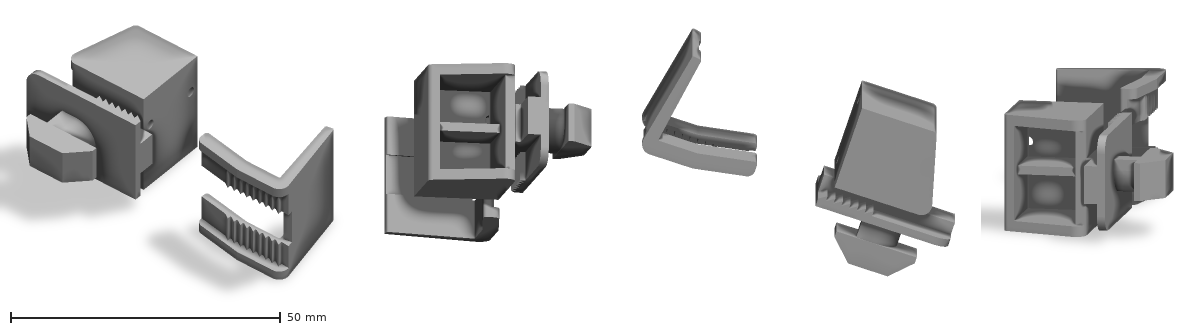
import cadquery as cq
import math

overall_length = 60.5
overall_height = 22.0
arm_angle = 10.0
arm_slope = math.tan(math.radians(arm_angle))

plate_tooth_count = 7
clip_tooth_count = 9
tooth_row_length = 10.55
tooth_pitch = tooth_row_length / plate_tooth_count
tooth_slope = 0.65
tooth_depth = tooth_slope * tooth_pitch
clip_tooth_land = 0.33

plate_length = 25.95
plate_height = 18.05
plate_thickness = 1.5
plate_corner_radius = 3.0
web_height = 7.15
web_low_top = 3.95
web_step_x = 6.95
web_step_radius = 0.3

box_bottom = 4.95
box_top = 20.95
box_right = 23.9
box_wall = 2.0
box_lean = math.tan(math.radians(15.0))
box_bottom_left = 4.95
box_bottom_radius = 2.0
box_top_radius = 0.95
cavity_bottom = 6.9
cavity_corner_radius = 0.25
cavity_right = box_right - box_wall
cavity_top = box_top - box_wall
rib_thickness = 1.65
rib_start_x = 12.35
wire_hole_diameter = 2.0
wire_hole_z = 3.6

neck_length = 4.6
neck_width = 8.0
neck_height = 6.8
neck_center_x = 12.45
neck_radius = 4.7
head_width = 15.75
head_height = 7.15
head_end_y = -9.75
head_rim = 1.15

clip_left = 38.9
arm_bend_x = 50.05
arm_thickness = 3.0
arm_outer_radius = 1.5
arm_inner_radius = 0.6
heel_radius = 2.0
heel_inner_x = 57.85
heel_inner_radius = 0.25
leg_length = 17.3
leg_inner_angle = 9.3
leg_outer_angle = 11.3
leg_tip_radius = 0.35
clip_tooth_end_x = 58.7
relief_end_drop = 0.08
slot_height = 7.45
slot_corner_x = 58.55
slot_corner_y = 3.3


def extrude_centered(points, height):
    """Prism over an XY outline, centred on Z = 0."""
    return cq.Workplane("XY").polyline(points).close().extrude(height / 2, both=True)


def round_edge(body, point, radius):
    """Round the vertical edge that passes nearest to an XY point."""
    edge = cq.NearestToPointSelector((point[0], point[1], 0))
    return body.edges("|Z").edges(edge).fillet(radius)


def make_plate():
    plate = cq.Workplane("XY").box(
        plate_length, plate_thickness, plate_height, centered=(False, False, True)
    )
    return plate.edges("|Y and <X").fillet(plate_corner_radius)


def make_plate_teeth():
    """Saw teeth on the inner face of the plate, steep side towards -X."""
    points = [(plate_length - tooth_row_length, 0)]
    for i in range(plate_tooth_count):
        root_x = plate_length - tooth_row_length + i * tooth_pitch
        points.append((root_x, plate_thickness))
        points.append((root_x, plate_thickness + tooth_depth))
    points += [(plate_length, plate_thickness), (plate_length, 0)]
    return extrude_centered(points, plate_height)


def make_web():
    """Middle web that joins the plate to the box."""
    web = extrude_centered(
        [
            (0, 0),
            (plate_length, 0),
            (plate_length, box_bottom),
            (web_step_x, box_bottom),
            (web_step_x, web_low_top),
            (0, web_low_top),
        ],
        web_height,
    )
    return round_edge(web, (web_step_x, web_low_top), web_step_radius)


def make_box():
    bottom_left = (box_bottom_left, box_bottom)
    top_left = (box_bottom_left + box_lean * (box_top - box_bottom), box_top)
    box = extrude_centered(
        [bottom_left, (box_right, box_bottom), (box_right, box_top), top_left],
        overall_height,
    )
    box = round_edge(box, bottom_left, box_bottom_radius)
    return round_edge(box, top_left, box_top_radius)


def make_cavity():
    """Space inside the box, open towards -X and cut square over the web step."""
    cavity = extrude_centered(
        [
            (0, box_bottom),
            (web_step_x, box_bottom),
            (web_step_x, cavity_bottom),
            (cavity_right, cavity_bottom),
            (cavity_right, cavity_top),
            (0, cavity_top),
        ],
        overall_height - 2 * box_wall,
    )
    return cavity.edges("|Z and >X").fillet(cavity_corner_radius)


def make_rib():
    """Level rib in front of the back wall, from cavity floor to cavity ceiling."""
    depth = cavity_right - rib_start_x
    span = cavity_top - cavity_bottom
    rib = cq.Workplane("XY").box(depth, span, rib_thickness, centered=(False, False, True))
    return rib.translate((rib_start_x, cavity_bottom, 0))


def make_wire_holes():
    """Holes through the back wall, centred on the two cavity walls."""
    return (
        cq.Workplane("YZ", origin=(cavity_right, 0, 0))
        .pushPoints([(cavity_bottom, wire_hole_z), (cavity_top, wire_hole_z)])
        .circle(wire_hole_diameter / 2)
        .extrude(box_wall)
    )


def make_neck():
    """Quarter-turn neck: two opposite corners are round, the other two square."""
    neck = cq.Workplane("XY").box(neck_width, neck_length, neck_height)
    neck = neck.translate((neck_center_x, -neck_length / 2, 0))
    for side in (-1, 1):
        corner = (neck_center_x + side * neck_width / 2, -neck_length / 2, side * neck_height / 2)
        neck = neck.edges("|Y").edges(cq.NearestToPointSelector(corner)).fillet(neck_radius)
    return neck


def make_head():
    """T-head with 45 degree flanks."""
    left = neck_center_x - head_width / 2
    right = neck_center_x + head_width / 2
    rim_y = -neck_length - head_rim
    flank = rim_y - head_end_y
    return extrude_centered(
        [
            (left, -neck_length),
            (right, -neck_length),
            (right, rim_y),
            (right - flank, head_end_y),
            (left + flank, head_end_y),
            (left, rim_y),
        ],
        head_height,
    )


def make_housing():
    hollow_box = make_box().cut(make_cavity()).union(make_rib()).cut(make_wire_holes())
    plate = make_plate().union(make_plate_teeth()).union(make_web())
    lock = make_neck().union(make_head())
    return hollow_box.union(plate).union(lock)


def make_clip_blank():
    """Bent arm and leaning leg at full height."""
    arm_rise = arm_slope * (arm_bend_x - clip_left)
    outer_lean = math.radians(leg_outer_angle)
    heel_tangent = heel_radius * math.tan((math.pi / 2 + outer_lean) / 2)
    heel_x = overall_length - heel_radius + heel_tangent

    inner_lean = math.radians(leg_inner_angle)
    tip_inner = (
        heel_inner_x - leg_length * math.sin(inner_lean),
        arm_thickness + leg_length * math.cos(inner_lean),
    )
    outer_gap = heel_x - math.tan(outer_lean) * tip_inner[1] - tip_inner[0]
    tip_step = outer_gap / (1 + math.tan(outer_lean) * math.tan(inner_lean))
    tip_outer = (tip_inner[0] + tip_step, tip_inner[1] + math.tan(inner_lean) * tip_step)

    end_outer = (clip_left, arm_rise)
    end_inner = (clip_left, arm_rise + arm_thickness)
    heel_outer = (heel_x, 0)
    heel_inner = (heel_inner_x, arm_thickness)
    clip = extrude_centered(
        [
            end_outer,
            (arm_bend_x, 0),
            heel_outer,
            tip_outer,
            tip_inner,
            heel_inner,
            (arm_bend_x, arm_thickness),
            end_inner,
        ],
        overall_height,
    )
    clip = round_edge(clip, end_outer, arm_outer_radius)
    clip = round_edge(clip, end_inner, arm_inner_radius)
    clip = round_edge(clip, heel_outer, heel_radius)
    clip = round_edge(clip, heel_inner, heel_inner_radius)
    clip = round_edge(clip, tip_inner, leg_tip_radius)
    return round_edge(clip, tip_outer, leg_tip_radius)


def make_clip_relief():
    """Recess for the plate in the outer face of the arm, with the clip teeth left standing."""
    tip_y = plate_thickness
    land_y = tip_y + tooth_slope * (tooth_pitch - clip_tooth_land)
    first_tip_x = clip_tooth_end_x - (clip_tooth_count - 1) * tooth_pitch

    first_root_x = (tooth_slope * first_tip_x - arm_slope * arm_bend_x) / (tooth_slope - arm_slope)
    points = [
        (clip_left, 0),
        (clip_left, tip_y + arm_slope * (arm_bend_x - clip_left)),
        (first_root_x, tip_y + tooth_slope * (first_tip_x - first_root_x)),
        (first_tip_x, tip_y),
    ]
    for i in range(1, clip_tooth_count):
        previous_tip_x = first_tip_x + (i - 1) * tooth_pitch
        points.append((previous_tip_x, land_y))
        points.append((previous_tip_x + clip_tooth_land, land_y))
        points.append((previous_tip_x + tooth_pitch, tip_y))
    heel_y = tip_y + tooth_depth
    end_y = heel_y - relief_end_drop * (overall_length - clip_tooth_end_x)
    points += [(clip_tooth_end_x, heel_y), (overall_length, end_y), (overall_length, 0)]
    return extrude_centered(points, plate_height)


def make_clip_slot():
    """Slot for the web: it splits the arm and trims the inner face of the leg."""
    floor_run = overall_length - slot_corner_x
    wall_rise = box_top - slot_corner_y
    return extrude_centered(
        [
            (clip_left, 0),
            (overall_length, 0),
            (overall_length, slot_corner_y + arm_slope * floor_run),
            (slot_corner_x, slot_corner_y),
            (slot_corner_x - arm_slope * wall_rise, box_top),
            (clip_left, box_top),
        ],
        slot_height,
    )


def make_clip():
    return make_clip_blank().cut(make_clip_relief()).cut(make_clip_slot())


housing = make_housing()
clip = make_clip()
result = cq.Compound.makeCompound([housing.val(), clip.val()])